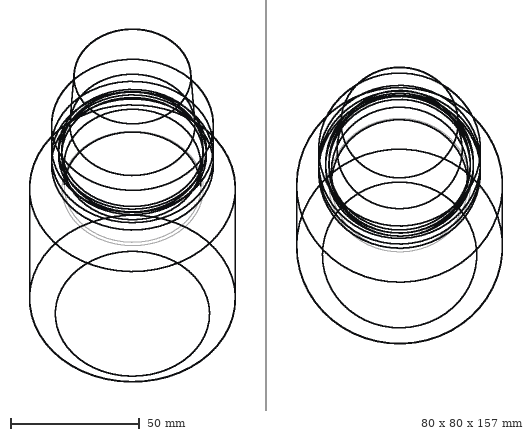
import cadquery as cq
import math

body_radius = 80.0 / 2
neck_radius = 53.0 / 2
flange_radius = 63.0 / 2
groove_radius = 55.0 / 2
taper_base_radius = 48.7 / 2
taper_tip_radius = 45.5 / 2

shoulder_height = 83.0
flange_bottom = 98.8
groove_bottom = 105.2
groove_top = 108.8
flange_top = 125.0
total_height = 157.0

nose_chamfer = 10.0
groove_chamfer_height = 1.5
groove_flank_angle = 30.0
groove_chamfer_width = groove_chamfer_height / math.tan(math.radians(groove_flank_angle))
neck_fillet = 1.0

fillet_mid_offset = neck_fillet * (1 - math.sqrt(0.5))
groove_lip_radius = flange_radius - groove_chamfer_width

profile = (
    cq.Workplane("XZ")
    .lineTo(body_radius - nose_chamfer, 0)
    .lineTo(body_radius, nose_chamfer)
    .lineTo(body_radius, shoulder_height)
    .lineTo(neck_radius + neck_fillet, shoulder_height)
    .threePointArc(
        (neck_radius + fillet_mid_offset, shoulder_height + fillet_mid_offset),
        (neck_radius, shoulder_height + neck_fillet),
    )
    .lineTo(neck_radius, flange_bottom)
    .lineTo(flange_radius, flange_bottom)
    .lineTo(flange_radius, groove_bottom - groove_chamfer_height)
    .lineTo(groove_lip_radius, groove_bottom)
    .lineTo(groove_radius, groove_bottom)
    .lineTo(groove_radius, groove_top)
    .lineTo(groove_lip_radius, groove_top)
    .lineTo(flange_radius, groove_top + groove_chamfer_height)
    .lineTo(flange_radius, flange_top)
    .lineTo(taper_base_radius, flange_top)
    .lineTo(taper_tip_radius, total_height)
    .lineTo(0, total_height)
    .close()
)

result = profile.revolve(360, (0, 0), (0, 1))